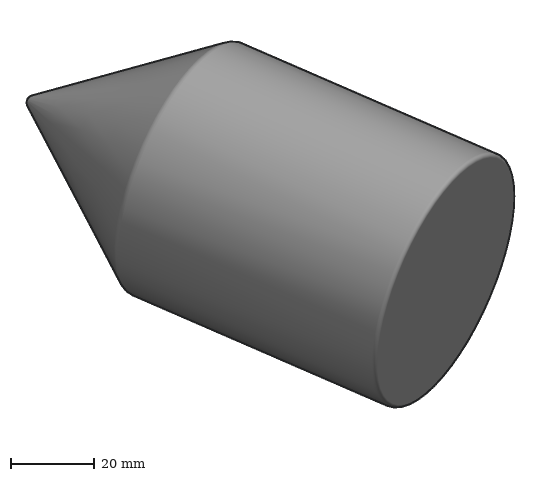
import cadquery as cq
import math

length = 117.1
body_radius = 66.2 / 2

body_length = 72.75
tip_radius = 1.85
shoulder_radius = 2.0

rear_edge_radius = 1.0

cone_length = length - body_length
corner_distance = cone_length - tip_radius
half_angle = math.atan2(body_radius, corner_distance) - math.asin(
    tip_radius / math.hypot(corner_distance, body_radius)
)

shoulder_setback = shoulder_radius * math.tan(half_angle / 2)


def point_on_arc(center, radius, angle):
    """Point on a circle, with the angle measured from +X toward +Y."""
    return (center[0] + radius * math.cos(angle), center[1] + radius * math.sin(angle))


def half_section():
    """Half section in the XY plane, closed along the X axis."""
    tip_center = (tip_radius, 0)
    shoulder_center = (cone_length + shoulder_setback, body_radius - shoulder_radius)
    rear_center = (length - rear_edge_radius, body_radius - rear_edge_radius)

    upward = math.pi / 2
    flank_normal = upward + half_angle
    tip_middle = (math.pi + flank_normal) / 2
    shoulder_middle = (flank_normal + upward) / 2
    rear_middle = upward / 2

    return (
        cq.Workplane("XY")
        .moveTo(0, 0)
        .threePointArc(
            point_on_arc(tip_center, tip_radius, tip_middle),
            point_on_arc(tip_center, tip_radius, flank_normal),
        )
        .lineTo(*point_on_arc(shoulder_center, shoulder_radius, flank_normal))
        .threePointArc(
            point_on_arc(shoulder_center, shoulder_radius, shoulder_middle),
            point_on_arc(shoulder_center, shoulder_radius, upward),
        )
        .lineTo(rear_center[0], body_radius)
        .threePointArc(
            point_on_arc(rear_center, rear_edge_radius, rear_middle),
            (length, rear_center[1]),
        )
        .lineTo(length, 0)
        .close()
    )


result = half_section().revolve(360, (0, 0, 0), (1, 0, 0))